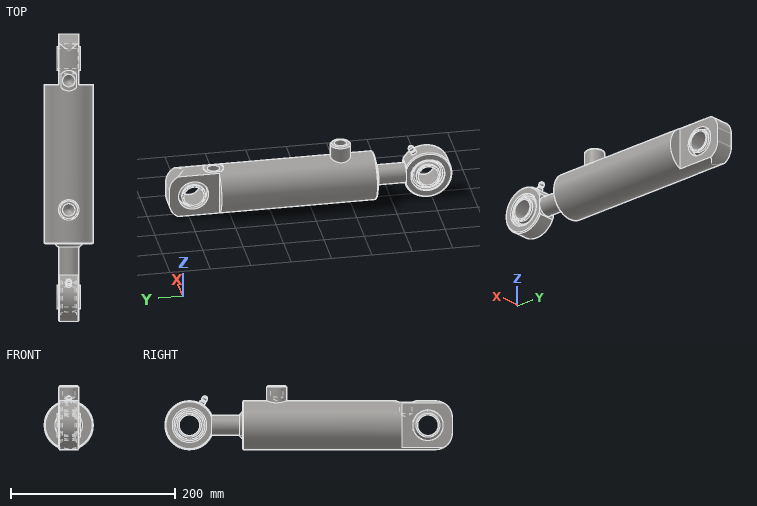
import cadquery as cq
import math


overall_length = 350.0
overall_height = 78.0
barrel_diameter = 60.0
barrel_radius = barrel_diameter / 2
eye_radius = barrel_radius
eye_distance = overall_length - 2 * eye_radius
eye_thickness = 25.0

barrel_rear = 32.0
barrel_front = 225.8
barrel_chamfer = 1.5
fixed_eye_corner_radius = 21.0

collar_diameter = 33.5
collar_tip_diameter = 26.5
collar_length = 3.5

port_hole_diameter = 15.0
port_hole_depth = 14.0
drill_point_angle = 118.0
port_boss_diameter = 25.0
port_boss_chamfer = 1.8
front_port_distance = 184.0
front_port_height = overall_height - barrel_radius
rear_port_distance = 27.0
rear_port_seat_height = 28.5

rod_diameter = 25.0
rod_eye_neck = 26.5
rod_eye_chamfer = 1.5
recess_diameter = 42.0
recess_depth = 2.8
race_step_diameter = 37.8
race_step_depth = 1.8

ball_diameter = 37.0
ball_radius = ball_diameter / 2
ball_end_diameter = 29.0
ball_width = 29.0
pin_hole_diameter = 25.0

nipple_tilt = 30.0
nipple_root = 28.0
nipple_profile = [
    (7.5, nipple_root),
    (7.5, 33.0),
    (5.0, 33.0),
    (5.0, 34.0),
    (7.0, 35.0),
    (6.5, 38.5),
    (3.0, 40.5),
]


def disc_along_x(diameter, width, y):
    """Cylinder along X, centred on the plane X = 0."""
    return cq.Workplane("YZ").center(y, 0).circle(diameter / 2).extrude(width / 2, both=True)


def rod_along_y(diameter, y_rear, y_front):
    """Cylinder along Y from y_rear down to y_front."""
    return cq.Workplane("XZ", origin=(0, y_rear, 0)).circle(diameter / 2).extrude(y_rear - y_front)


def port_hole(distance, height):
    """Blind drilled hole with a conical bottom, opening upward."""
    radius = port_hole_diameter / 2
    point_length = radius / math.tan(math.radians(drill_point_angle / 2))
    profile = (
        cq.Workplane("XZ", origin=(0, -distance, 0))
        .moveTo(0, height)
        .lineTo(radius, height)
        .lineTo(radius, height - port_hole_depth)
        .lineTo(0, height - port_hole_depth - point_length)
        .close()
    )
    return profile.revolve(360, (0, 0, 0), (0, 1, 0))


def make_fixed_eye():
    """Flat tongue with rounded corners, trimmed to the round bar it is cut from."""
    length = eye_radius + barrel_rear
    tongue = (
        cq.Workplane("XY")
        .box(eye_thickness, length, barrel_diameter)
        .translate((0, eye_radius - length / 2, 0))
        .edges("|X and >Y")
        .fillet(fixed_eye_corner_radius)
    )
    return tongue.intersect(rod_along_y(barrel_diameter, eye_radius, -barrel_rear))


def make_collar():
    """Gland collar that tapers toward the rod."""
    return (
        cq.Workplane("XY")
        .moveTo(0, -barrel_front)
        .lineTo(collar_diameter / 2, -barrel_front)
        .lineTo(collar_tip_diameter / 2, -barrel_front - collar_length)
        .lineTo(0, -barrel_front - collar_length)
        .close()
        .revolve(360, (0, 0, 0), (0, 1, 0))
    )


def make_port_boss():
    """Upright port boss, standing from the barrel axis."""
    return (
        cq.Workplane("XY", origin=(0, -front_port_distance, 0))
        .circle(port_boss_diameter / 2)
        .extrude(front_port_height)
        .faces(">Z")
        .chamfer(port_boss_chamfer)
    )


def make_housing(rod):
    """Barrel with the fixed eye, gland collar and both oil ports."""
    barrel = rod_along_y(barrel_diameter, -barrel_rear, -barrel_front).faces("<Y").chamfer(barrel_chamfer)
    rear_port_seat = (
        cq.Workplane("XY", origin=(0, -rear_port_distance, rear_port_seat_height))
        .circle(port_boss_diameter / 2)
        .extrude(barrel_radius)
    )
    return (
        barrel.union(make_fixed_eye())
        .union(make_collar())
        .union(make_port_boss())
        .cut(rear_port_seat)
        .cut(port_hole(rear_port_distance, rear_port_seat_height))
        .cut(port_hole(front_port_distance, front_port_height))
        .cut(disc_along_x(ball_diameter, eye_thickness, 0))
        .cut(rod)
    )


def make_nipple():
    """Turned grease nipple, standing radially on the rod eye."""
    points = [(diameter / 2, height) for diameter, height in nipple_profile]
    nipple = (
        cq.Workplane("XZ")
        .polyline([(0, nipple_root), *points, (0, points[-1][1])])
        .close()
        .revolve(360, (0, 0, 0), (0, 1, 0))
    )
    return nipple.rotate((0, 0, 0), (1, 0, 0), -nipple_tilt).translate((0, -eye_distance, 0))


def make_rod_eye_opening():
    """Spherical socket between two stepped recesses."""
    half_eye = eye_thickness / 2
    half_step = half_eye - recess_depth
    half_race = half_step - race_step_depth
    recess_radius = recess_diameter / 2
    step_radius = race_step_diameter / 2
    socket_edge = math.sqrt(ball_radius**2 - half_race**2)
    return (
        cq.Workplane("XY")
        .moveTo(-half_eye, 0)
        .lineTo(-half_eye, recess_radius)
        .lineTo(-half_step, recess_radius)
        .lineTo(-half_step, step_radius)
        .lineTo(-half_race, step_radius)
        .lineTo(-half_race, socket_edge)
        .threePointArc((0, ball_radius), (half_race, socket_edge))
        .lineTo(half_race, step_radius)
        .lineTo(half_step, step_radius)
        .lineTo(half_step, recess_radius)
        .lineTo(half_eye, recess_radius)
        .lineTo(half_eye, 0)
        .close()
        .revolve(360, (0, 0, 0), (1, 0, 0))
        .translate((0, -eye_distance, 0))
    )


def make_rod():
    """Piston rod with the rod eye, its spherical socket and the grease nipple."""
    eye = disc_along_x(2 * eye_radius, eye_thickness, -eye_distance)
    eye = eye.faces("<X or >X").chamfer(rod_eye_chamfer)
    neck_y = rod_eye_neck - eye_distance
    beyond_neck = (
        cq.Workplane("XY")
        .box(eye_thickness, eye_radius, 2 * eye_radius)
        .translate((0, neck_y + eye_radius / 2, 0))
    )
    return (
        eye.cut(beyond_neck)
        .union(rod_along_y(rod_diameter, -barrel_front, neck_y))
        .union(make_nipple())
        .cut(make_rod_eye_opening())
    )


def make_bushing(y):
    """Ball with cylindrical end collars and a pin hole along X."""
    half_width = ball_width / 2
    end_radius = ball_end_diameter / 2
    hole_radius = pin_hole_diameter / 2
    ball_edge = math.sqrt(ball_radius**2 - end_radius**2)
    return (
        cq.Workplane("XY")
        .moveTo(-half_width, hole_radius)
        .lineTo(-half_width, end_radius)
        .lineTo(-ball_edge, end_radius)
        .threePointArc((0, ball_radius), (ball_edge, end_radius))
        .lineTo(half_width, end_radius)
        .lineTo(half_width, hole_radius)
        .close()
        .revolve(360, (0, 0, 0), (1, 0, 0))
        .translate((0, y, 0))
    )


rod = make_rod()
housing = make_housing(rod)
bushings = [make_bushing(y) for y in (0, -eye_distance)]

result = cq.Compound.makeCompound([housing.val(), rod.val(), *[bushing.val() for bushing in bushings]])